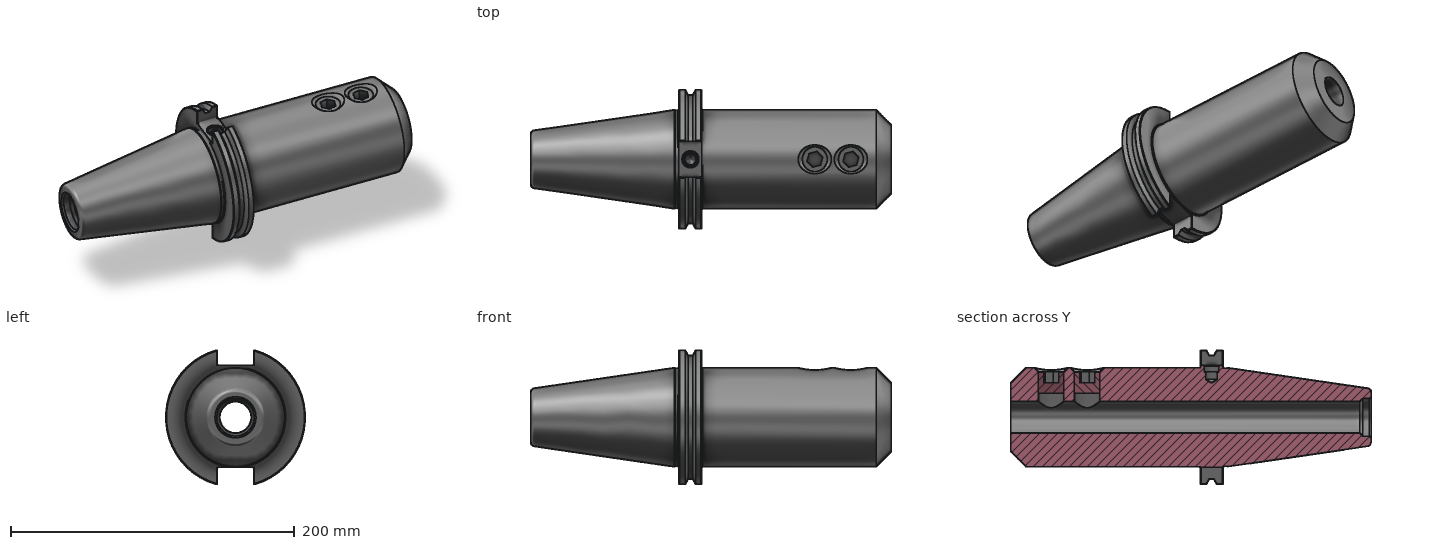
import cadquery as cq
import math

LENGTH = 254.0

TAPER_LENGTH = 101.0
TAPER_RATIO = 7 / 24
GAUGE_DIAMETER = 69.8
TAPER_END_FILLET = 3.0

NECK_DIAMETER = 69.3
NECK_STEP_LENGTH = 0.8

FLANGE_START = 104.5
FLANGE_END = 120.5
FLANGE_DIAMETER = 98.3
FLANGE_CHAMFER = 0.5
FLANGE_ROOT_FILLET = 0.8

GROOVE_CENTRE = 112.5
GROOVE_FLOOR_DIAMETER = 91.0
GROOVE_FLOOR_WIDTH = 3.3
GROOVE_HALF_ANGLE = 30.0

SLOT_WIDTH = 25.7
TOP_SLOT_HEIGHT = 36.8
BOTTOM_SLOT_HEIGHT = 35.3
SLOT_FILLET = 0.5

SLOT_HOLE_MOUTH_DIAMETER = 12.0
SLOT_HOLE_DIAMETER = 10.2
SLOT_HOLE_DRILL_DIAMETER = 8.0
SLOT_HOLE_DEPTH = 4.8
SLOT_HOLE_DRILL_DEPTH = 10.2
DRILL_POINT_ANGLE = 118.0

BODY_DIAMETER = 69.8
NOSE_CHAMFER = 10.7

BORE_DIAMETER = 22.0
MOUTH_DIAMETER = 26.5
MOUTH_DEPTH = 5.8
MOUTH_CONE_LENGTH = 2.3
MOUTH_CHAMFER = 1.3

SCREW_DIAMETER = 17.5
SCREW_POSITIONS = (200.2, 225.5)
SCREW_TOP = 32.0
SCREW_LENGTH = 15.2
SOCKET_WIDTH = 10.0
SOCKET_DEPTH = 7.5
SOCKET_ROTATION = 15.0

TAPER_END_DIAMETER = GAUGE_DIAMETER - TAPER_LENGTH * TAPER_RATIO
BODY_RADIUS = BODY_DIAMETER / 2
FLANGE_RADIUS = FLANGE_DIAMETER / 2
FLANGE_WIDTH = FLANGE_END - FLANGE_START
FLANGE_MIDDLE = (FLANGE_START + FLANGE_END) / 2


def turned_solid(points):
    """Revolve an (x, radius) outline about the X axis, from the XZ plane."""
    return cq.Workplane("XZ").polyline(points).close().revolve(360, (0, 0, 0), (1, 0, 0))


def vertical_turned_solid(points, x):
    """Revolve a (radius, z) outline about the vertical line at x."""
    return (
        cq.Workplane("XZ", origin=(x, 0, 0))
        .polyline(points)
        .close()
        .revolve(360, (0, 0, 0), (0, 1, 0))
    )


def root_of_flange(x, diameter):
    """Box selector for the circular edge where the flange face at x meets the given diameter."""
    reach = 0.3
    half = diameter / 2 + reach
    return cq.selectors.BoxSelector((x - reach, -half, -half), (x + reach, half, half), boundingbox=True)


def turned_blank():
    """Taper, neck, plain flange and cylindrical nose."""
    outline = [
        (0, 0),
        (0, TAPER_END_DIAMETER / 2),
        (TAPER_LENGTH, GAUGE_DIAMETER / 2),
        (TAPER_LENGTH + NECK_STEP_LENGTH, NECK_DIAMETER / 2),
        (FLANGE_START, NECK_DIAMETER / 2),
        (FLANGE_START, FLANGE_RADIUS),
        (FLANGE_END, FLANGE_RADIUS),
        (FLANGE_END, BODY_RADIUS),
        (LENGTH - NOSE_CHAMFER, BODY_RADIUS),
        (LENGTH, BODY_RADIUS - NOSE_CHAMFER),
        (LENGTH, 0),
    ]
    return (
        turned_solid(outline)
        .faces("<X")
        .edges()
        .fillet(TAPER_END_FILLET)
        .edges(root_of_flange(FLANGE_START, NECK_DIAMETER))
        .fillet(FLANGE_ROOT_FILLET)
        .edges(root_of_flange(FLANGE_END, BODY_DIAMETER))
        .fillet(FLANGE_ROOT_FILLET)
    )


def groove():
    """Ring with the trapezoidal section of the V-groove."""
    floor_radius = GROOVE_FLOOR_DIAMETER / 2
    half_floor = GROOVE_FLOOR_WIDTH / 2
    flare = (FLANGE_RADIUS - floor_radius) * math.tan(math.radians(GROOVE_HALF_ANGLE))
    half_top = half_floor + flare
    return turned_solid([
        (GROOVE_CENTRE - half_floor, floor_radius),
        (GROOVE_CENTRE + half_floor, floor_radius),
        (GROOVE_CENTRE + half_top, FLANGE_RADIUS),
        (GROOVE_CENTRE - half_top, FLANGE_RADIUS),
    ])


def drive_slot(floor_height, tilt):
    """Slot across the flange, turned about X by tilt degrees."""
    depth = FLANGE_RADIUS - floor_height
    length = FLANGE_WIDTH + 2 * FLANGE_ROOT_FILLET
    slot = cq.Workplane("XY", origin=(FLANGE_MIDDLE, 0, floor_height)).box(
        length, SLOT_WIDTH, depth, centered=(True, True, False)
    )
    return slot.rotate((0, 0, 0), (1, 0, 0), tilt)


def reaches_flange_rim(edge):
    """True for edges with an end on the outer diameter of the flange."""
    rim = FLANGE_RADIUS - FLANGE_CHAMFER / 2
    return any(math.hypot(v.Y, v.Z) > rim for v in edge.Vertices())


def is_slot_corner(edge):
    """True for the straight edges where a slot wall meets a slot floor."""
    reach = 0.03
    middle = edge.Center()
    at_wall = abs(abs(middle.y) - SLOT_WIDTH / 2) < reach
    at_floor = min(abs(middle.z - TOP_SLOT_HEIGHT), abs(middle.z + BOTTOM_SLOT_HEIGHT)) < reach
    return at_wall and at_floor


def break_edges(blank):
    """Chamfer the flange rim and slot wall edges, then round the slot floor corners."""
    rim_edges = [edge for edge in blank.edges().vals() if reaches_flange_rim(edge)]
    blank = blank.newObject(rim_edges).chamfer(FLANGE_CHAMFER)
    corners = [edge for edge in blank.edges("|X").vals() if is_slot_corner(edge)]
    return blank.newObject(corners).fillet(SLOT_FILLET)


def flanged_blank():
    """Turned blank with both drive slots, broken edges and the V-groove."""
    blank = turned_blank()
    blank = blank.cut(drive_slot(TOP_SLOT_HEIGHT, 0))
    blank = blank.cut(drive_slot(BOTTOM_SLOT_HEIGHT, 180))
    return break_edges(blank).cut(groove())


def bore():
    """Through bore with a wider, chamfered mouth at the small end."""
    bore_radius = BORE_DIAMETER / 2
    mouth_radius = MOUTH_DIAMETER / 2
    return turned_solid([
        (0, 0),
        (0, mouth_radius + MOUTH_CHAMFER),
        (MOUTH_CHAMFER, mouth_radius),
        (MOUTH_DEPTH, mouth_radius),
        (MOUTH_DEPTH + MOUTH_CONE_LENGTH, bore_radius),
        (LENGTH, bore_radius),
        (LENGTH, 0),
    ])


def slot_hole():
    """Countersunk, stepped blind hole in the floor of the top slot."""
    mouth_radius = SLOT_HOLE_MOUTH_DIAMETER / 2
    radius = SLOT_HOLE_DIAMETER / 2
    drill_radius = SLOT_HOLE_DRILL_DIAMETER / 2
    point_length = drill_radius / math.tan(math.radians(DRILL_POINT_ANGLE / 2))
    step = TOP_SLOT_HEIGHT - SLOT_HOLE_DEPTH
    drill_end = TOP_SLOT_HEIGHT - SLOT_HOLE_DRILL_DEPTH
    outline = [
        (0, TOP_SLOT_HEIGHT),
        (mouth_radius, TOP_SLOT_HEIGHT),
        (radius, TOP_SLOT_HEIGHT - (mouth_radius - radius)),
        (radius, step),
        (drill_radius, step),
        (drill_radius, drill_end),
        (0, drill_end - point_length),
    ]
    return vertical_turned_solid(outline, GROOVE_CENTRE)


def screw_hole(x):
    """Hole for one clamping screw, from a 45 degree countersink down into the bore."""
    radius = SCREW_DIAMETER / 2
    outline = [
        (0, 0),
        (radius, 0),
        (radius, SCREW_TOP),
        (radius + BODY_RADIUS - SCREW_TOP, BODY_RADIUS),
        (0, BODY_RADIUS),
    ]
    return vertical_turned_solid(outline, x)


def make_holder():
    """Holder with its bore, slot hole and screw holes."""
    holder = flanged_blank().cut(bore()).cut(slot_hole())
    for x in SCREW_POSITIONS:
        holder = holder.cut(screw_hole(x))
    return holder


def make_screw(x):
    """Set screw with a hexagon socket."""
    across_corners = SOCKET_WIDTH / math.cos(math.pi / 6)
    return (
        cq.Workplane("XY", origin=(x, 0, SCREW_TOP - SCREW_LENGTH))
        .circle(SCREW_DIAMETER / 2)
        .extrude(SCREW_LENGTH)
        .faces(">Z")
        .workplane()
        .transformed(rotate=(0, 0, SOCKET_ROTATION))
        .polygon(6, across_corners)
        .cutBlind(-SOCKET_DEPTH)
    )


holder = make_holder()
screws = [make_screw(x) for x in SCREW_POSITIONS]

result = cq.Compound.makeCompound([holder.val(), *[screw.val() for screw in screws]])